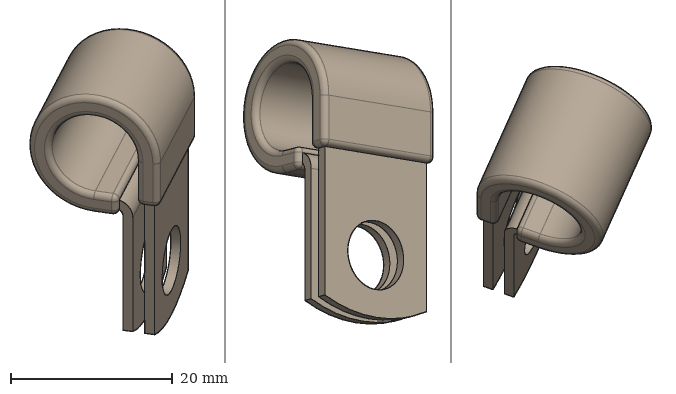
import cadquery as cq

overall_width = 17.45
overall_height = 35.25
loop_outer_radius = 8.35
strap_thickness = 1.27
cover_thickness = 0.78
long_end_drop = 6.35
short_end_reach = 3.05
bent_leg_outer_x = 4.8
bend_inner_radius = 1.05
hole_diameter = 8.7
hole_drop = 19.05
tip_sagitta = 1.75

cushion_thickness = strap_thickness + 2 * cover_thickness
loop_inner_radius = loop_outer_radius - cushion_thickness
strap_outer_radius = loop_outer_radius - cover_thickness
strap_inner_radius = strap_outer_radius - strap_thickness
strap_width = overall_width - 2 * cover_thickness
leg_bottom = loop_outer_radius - overall_height
tip_corner = leg_bottom + tip_sagitta
bend_outer_radius = bend_inner_radius + strap_thickness
bend_x = bent_leg_outer_x - bend_outer_radius
bend_z = -strap_inner_radius - bend_outer_radius


def make_cushion():
    """Three-quarter loop with two straight ends, all edges rounded."""
    profile = (
        cq.Workplane("XZ")
        .moveTo(loop_outer_radius, -long_end_drop)
        .lineTo(loop_outer_radius, 0)
        .threePointArc((0, loop_outer_radius), (-loop_outer_radius, 0))
        .tangentArcPoint((0, -loop_outer_radius), relative=False)
        .lineTo(short_end_reach, -loop_outer_radius)
        .lineTo(short_end_reach, -loop_inner_radius)
        .lineTo(0, -loop_inner_radius)
        .tangentArcPoint((-loop_inner_radius, 0), relative=False)
        .tangentArcPoint((0, loop_inner_radius), relative=False)
        .tangentArcPoint((loop_inner_radius, 0), relative=False)
        .lineTo(loop_inner_radius, -long_end_drop)
        .close()
    )
    body = profile.extrude(overall_width / 2, both=True)
    side_edges = body.faces("<Y or >Y").edges()
    end_edges = body.edges("|Y").filter(is_end_corner)
    return side_edges.add(end_edges).fillet(cover_thickness)


def is_end_corner(edge):
    """True for the edges across the width at the two free ends of the cushion."""
    center = edge.Center()
    tolerance = 0.0005
    at_long_end = abs(center.z + long_end_drop) < tolerance
    at_short_end = abs(center.x - short_end_reach) < tolerance
    return at_long_end or at_short_end


def make_bent_leg():
    """Leg that leaves the short cushion end and bends downward."""
    return (
        cq.Workplane("XZ")
        .moveTo(0, -strap_inner_radius)
        .lineTo(bend_x, -strap_inner_radius)
        .tangentArcPoint((bent_leg_outer_x, bend_z), relative=False)
        .lineTo(bent_leg_outer_x, leg_bottom)
        .lineTo(bent_leg_outer_x - strap_thickness, leg_bottom)
        .lineTo(bent_leg_outer_x - strap_thickness, bend_z)
        .threePointArc(
            (bend_x + bend_inner_radius * 0.5**0.5, bend_z + bend_inner_radius * 0.5**0.5),
            (bend_x, -strap_outer_radius),
        )
        .lineTo(0, -strap_outer_radius)
        .close()
        .extrude(strap_width / 2, both=True)
    )


def make_straight_leg():
    """Leg that continues straight down from the long cushion end."""
    return cq.Workplane("XY").box(
        strap_thickness, strap_width, -leg_bottom, centered=(False, True, False)
    ).translate((strap_inner_radius, 0, leg_bottom))


def make_leg_outline():
    """Side outline of both legs: curved tip and clamping hole, extruded along X."""
    half_width = strap_width / 2
    return (
        cq.Workplane("YZ")
        .moveTo(-half_width, 0)
        .lineTo(-half_width, tip_corner)
        .threePointArc((0, leg_bottom), (half_width, tip_corner))
        .lineTo(half_width, 0)
        .close()
        .moveTo(0, -hole_drop)
        .circle(hole_diameter / 2)
        .extrude(loop_outer_radius)
    )


legs = make_bent_leg().union(make_straight_leg()).intersect(make_leg_outline())
result = make_cushion().union(legs)